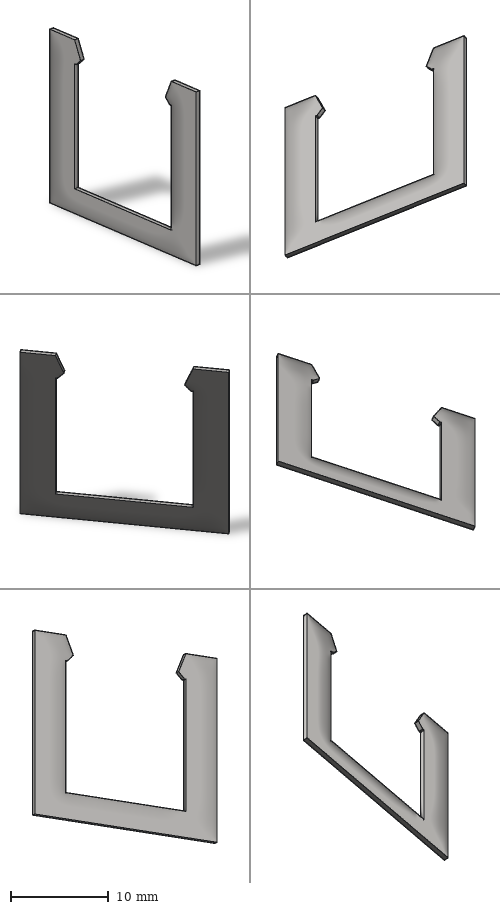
import cadquery as cq

width = 21.72
height = 19.5
thickness = 0.51

arm_width = 3.698
base_height = 2.79

hook_reach = 0.88
hook_tip_drop = 2.04
hook_height = 2.72
underside_rise = hook_height - hook_tip_drop

half_width = width / 2
half_height = height / 2
inner_x = half_width - arm_width
tip_x = inner_x - hook_reach
ledge_end_x = tip_x + underside_rise


def right_side():
    """Right half of the outline, from the base's outer corner to its inner corner."""
    return [
        (half_width, -half_height),
        (half_width, half_height),
        (inner_x, half_height),
        (tip_x, half_height - hook_tip_drop),
        (ledge_end_x, half_height - hook_height),
        (inner_x, half_height - hook_height),
        (inner_x, -half_height + base_height),
    ]


def clip_outline():
    """Full closed outline, the left half mirroring the right."""
    right = right_side()
    left = [(-x, z) for x, z in reversed(right)]
    return right + left


result = (
    cq.Workplane("XZ")
    .polyline(clip_outline())
    .close()
    .extrude(thickness / 2, both=True)
)